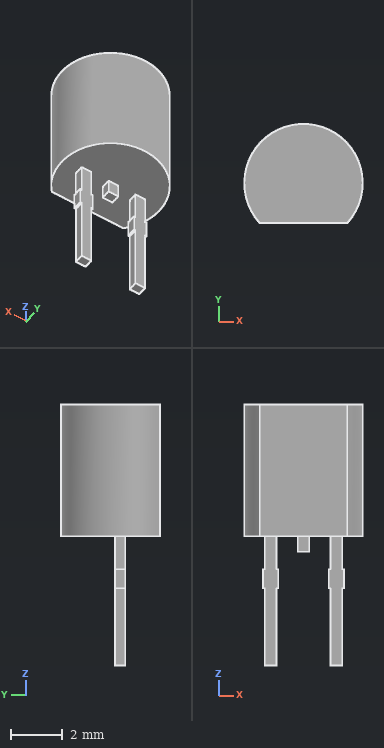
import cadquery as cq
import math

body_radius = 2.297
flat_distance = 1.547
body_height = 5.1

lead_width = 0.46
lead_depth = 0.40
lead_pitch = 2.54
lead_length = 5.0
stub_length = 0.6

collar_width = 0.60
collar_height = 0.75
collar_drop = 1.27


def make_body():
    """Cylinder with a flat, outlined by one chord and one large arc."""
    half_flat = math.sqrt(body_radius**2 - flat_distance**2)
    return (
        cq.Workplane("XY")
        .moveTo(-half_flat, -flat_distance)
        .lineTo(half_flat, -flat_distance)
        .threePointArc((0, body_radius), (-half_flat, -flat_distance))
        .close()
        .extrude(body_height)
    )


def make_bar(x, width, top, length):
    """Rectangular bar centred on (x, 0), reaching down from the height top."""
    return (
        cq.Workplane("XY", origin=(x, 0, top))
        .rect(width, lead_depth)
        .extrude(-length)
    )


def make_outer_lead(x):
    """Long lead with its collar; the edges between their flush faces are kept."""
    lead = make_bar(x, lead_width, 0, lead_length)
    collar = make_bar(x, collar_width, -collar_drop, collar_height)
    return lead.union(collar, clean=False)


result = make_body()
result = result.union(make_bar(0, lead_width, 0, stub_length))
for side in (-1, 1):
    outer_lead = make_outer_lead(side * lead_pitch / 2)
    result = result.union(outer_lead, clean=False)